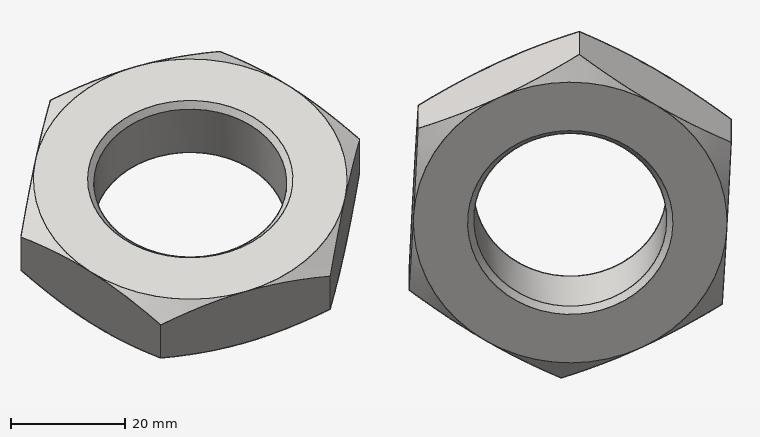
import cadquery as cq
import math

across_corners = 63.5
thickness = 14.0
bore_diameter = 33.85
bore_mouth_diameter = 36.0
corner_chamfer_angle = 30.0

across_flats = across_corners * math.cos(math.radians(30))
corner_radius = across_corners / 2
face_radius = across_flats / 2
corner_drop = (corner_radius - face_radius) * math.tan(math.radians(corner_chamfer_angle))
half_thickness = thickness / 2
bore_chamfer = (bore_mouth_diameter - bore_diameter) / 2


def hexagonal_ring():
    """Hexagonal prism with its bore, centred on the origin, corners on X."""
    return (
        cq.Workplane("XY")
        .polygon(6, across_corners)
        .circle(bore_diameter / 2)
        .extrude(half_thickness, both=True)
    )


def corner_envelope():
    """Turned body whose cones trim the hexagon corners on both faces."""
    shoulder = half_thickness - corner_drop
    return (
        cq.Workplane("XZ")
        .moveTo(0, -half_thickness)
        .lineTo(face_radius, -half_thickness)
        .lineTo(corner_radius, -shoulder)
        .lineTo(corner_radius, shoulder)
        .lineTo(face_radius, half_thickness)
        .lineTo(0, half_thickness)
        .close()
        .revolve(360, (0, 0, 0), (0, 1, 0))
    )


ring = hexagonal_ring().faces("|Z").edges("%CIRCLE").chamfer(bore_chamfer)
result = ring.intersect(corner_envelope())